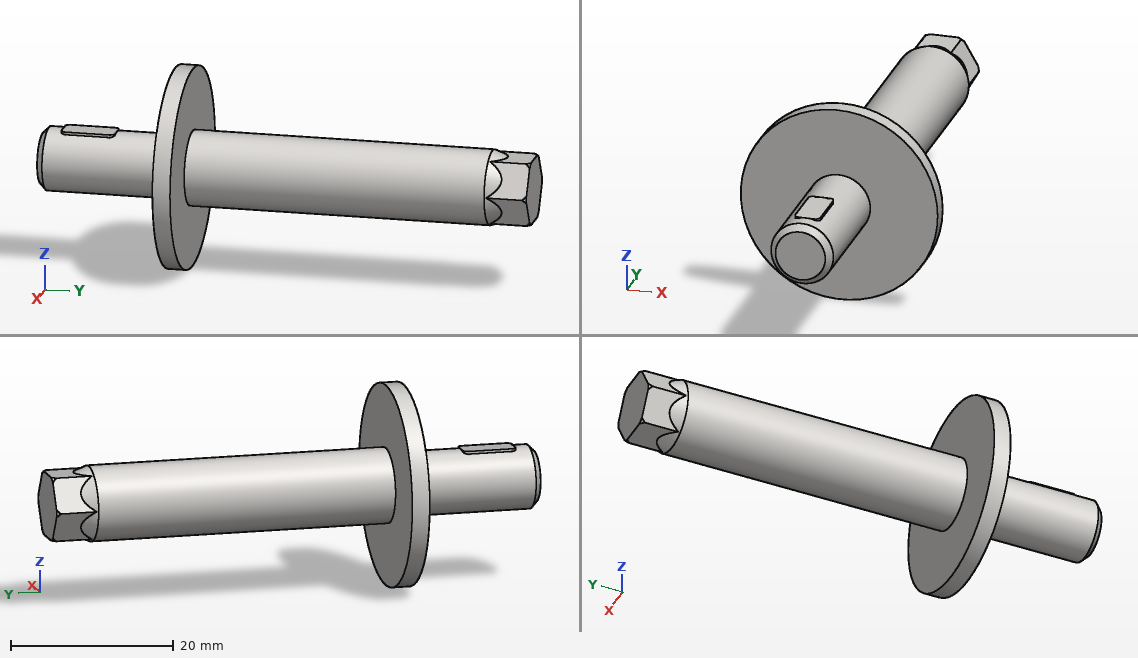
import cadquery as cq
import math

total_length = 62.2
journal_diameter = 8.0
journal_length = 16.75
journal_chamfer = 0.8
flange_diameter = 25.4
flange_thickness = 2.25
shaft_diameter = 9.45

hex_length = 5.3
hex_across_flats = journal_diameter
hex_across_corners = hex_across_flats / math.cos(math.pi / 6)
hex_start = total_length - hex_length
hex_taper_length = 1.9
corner_trim = 0.25
corner_trim_length = 0.5

key_width = 3.25
key_length = 6.8
key_height = 2.0
key_corner_radius = 0.6
key_end_gap = 2.6


def cylinder_along_y(diameter, start, length):
    return cq.Workplane("XZ", origin=(0, start, 0)).circle(diameter / 2).extrude(-length)


def cone_along_y(start_radius, end_radius, start, length):
    return cq.Workplane(
        cq.Solid.makeCone(start_radius, end_radius, length, cq.Vector(0, start, 0), cq.Vector(0, 1, 0))
    )


def make_hex_drive():
    """Hexagon with flats facing +Z and -Z, and its end corners bevelled by a cone."""
    hexagon = (
        cq.Workplane("XZ", origin=(0, hex_start, 0))
        .polygon(6, hex_across_corners)
        .extrude(-hex_length)
    )
    corner_radius = hex_across_corners / 2
    trim_start = total_length - corner_trim_length
    envelope = cylinder_along_y(shaft_diameter, hex_start, hex_length - corner_trim_length)
    end_cone = cone_along_y(corner_radius, corner_radius - corner_trim, trim_start, corner_trim_length)
    return hexagon.intersect(envelope.union(end_cone))


def make_key():
    key_bottom = journal_diameter / 2 - key_height
    return (
        cq.Workplane("XY", origin=(0, key_end_gap + key_length / 2, key_bottom))
        .rect(key_width, key_length)
        .extrude(key_height)
        .edges("|Z")
        .fillet(key_corner_radius)
    )


def make_shaft(key):
    journal = cylinder_along_y(journal_diameter, 0, journal_length).faces("<Y").chamfer(journal_chamfer)
    flange = cylinder_along_y(flange_diameter, journal_length, flange_thickness)
    shaft_start = journal_length + flange_thickness
    main_shaft = cylinder_along_y(shaft_diameter, shaft_start, hex_start - shaft_start)
    hex_taper = cone_along_y(shaft_diameter / 2, hex_across_flats / 2, hex_start, hex_taper_length)
    solid = journal.union(flange).union(main_shaft).union(hex_taper).union(make_hex_drive())
    return solid.cut(key)


key = make_key()
shaft = make_shaft(key)

result = cq.Compound.makeCompound([shaft.solids().val(), key.val()])